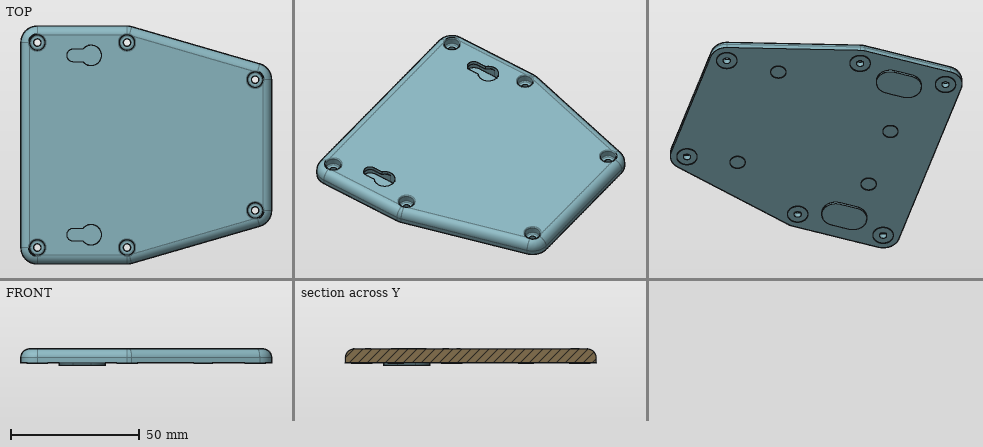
import cadquery as cq
corner_radius = 6.5
plate_thickness = 5.5
top_fillet_radius = 3.5
screw_span_x = 85.0
screw_span_mid_x = 35.0
screw_span_wide_y = 80.0
screw_span_narrow_y = 51.0

screw_hole_diameter = 2.8
screw_head_diameter = 6.0
screw_head_depth = 3.3
screw_head_edge_radius = 0.4
screw_boss_diameter = 8.0
foot_height = 0.3

keyhole_head_diameter = 8.0
keyhole_neck_diameter = 5.0
keyhole_neck_x = 14.0
keyhole_head_x = 21.0
keyhole_y = 35.0
keyhole_lip_thickness = 1.5
keyhole_wall = 1.5
keyhole_boss_height = 1.0
keyhole_floor_thickness = 1.5
keyhole_boss_diameter = keyhole_head_diameter + 2 * keyhole_wall

standoff_diameter = 6.0
board_hole_pattern = [(13.97, 2.54), (15.24, 50.8), (66.04, 7.62), (66.04, 35.56)]
board_corner_x = 79.3
board_corner_y = -24.7

boss_overlap = 1.0

half_wide = screw_span_wide_y / 2
half_narrow = screw_span_narrow_y / 2
screw_points = [
    (0, -half_wide),
    (screw_span_mid_x, -half_wide),
    (screw_span_x, -half_narrow),
    (screw_span_x, half_narrow),
    (screw_span_mid_x, half_wide),
    (0, half_wide),
]
standoff_points = [(board_corner_x - x, board_corner_y + y) for x, y in board_hole_pattern]


def cylinder_at(points, diameter, bottom, top):
    """Equal upright cylinders between two heights."""
    plane = cq.Workplane("XY").workplane(offset=bottom)
    return plane.pushPoints(points).circle(diameter / 2).extrude(top - bottom)


def keyhole_slot(y, diameter, bottom, top):
    """Round-ended slot along the sliding path of a hanger screw."""
    length = keyhole_head_x - keyhole_neck_x
    middle_x = (keyhole_head_x + keyhole_neck_x) / 2
    plane = cq.Workplane("XY").workplane(offset=bottom).center(middle_x, y)
    return plane.slot2D(length + diameter, diameter).extrude(top - bottom)


def make_plate():
    """Flat plate with a rounded outline and a rounded upper edge."""
    outline = cq.Workplane("XY").polyline(screw_points).close().offset2D(corner_radius)
    return outline.extrude(plate_thickness).faces(">Z").edges().fillet(top_fillet_radius)


def recess_mouth_edges(body):
    """Upper edges of the screw head recesses, where they meet the plate's top."""
    reach = screw_head_diameter / 2 + 0.05
    lowest = plate_thickness - 1.2
    highest = plate_thickness + 0.1
    edges = []
    for x, y in screw_points:
        box = cq.selectors.BoxSelector(
            (x - reach, y - reach, lowest),
            (x + reach, y + reach, highest),
            boundingbox=True,
        )
        edges += body.edges(box).vals()
    return edges


def cut_screw_holes(body):
    """Through holes with round-bottomed head recesses and softened mouths."""
    head_floor = plate_thickness - screw_head_depth
    body = body.cut(cylinder_at(screw_points, screw_hole_diameter, -foot_height, plate_thickness))
    recess = cylinder_at(screw_points, screw_head_diameter, head_floor, plate_thickness + 1)
    recess = recess.faces("<Z").edges().fillet(screw_head_edge_radius)
    body = body.cut(recess)
    rounded = body.findSolid().fillet(screw_head_edge_radius, recess_mouth_edges(body))
    return cq.Workplane(rounded)


def cut_keyhole(body, y):
    """Keyhole opening over a wider pocket that the screw head slides into."""
    pocket_floor = keyhole_floor_thickness - keyhole_boss_height
    lip_bottom = plate_thickness - keyhole_lip_thickness
    body = body.cut(keyhole_slot(y, keyhole_head_diameter, pocket_floor, lip_bottom))
    body = body.cut(keyhole_slot(y, keyhole_neck_diameter, lip_bottom, plate_thickness))
    head = cylinder_at([(keyhole_head_x, y)], keyhole_head_diameter, lip_bottom, plate_thickness)
    return body.cut(head)


result = make_plate()
result = result.union(cylinder_at(screw_points, screw_boss_diameter, -foot_height, boss_overlap))
result = result.union(cylinder_at(standoff_points, standoff_diameter, -foot_height, boss_overlap))
for hanger_y in (-keyhole_y, keyhole_y):
    boss = keyhole_slot(hanger_y, keyhole_boss_diameter, -keyhole_boss_height, boss_overlap)
    result = result.union(boss)
    result = cut_keyhole(result, hanger_y)
result = cut_screw_holes(result)